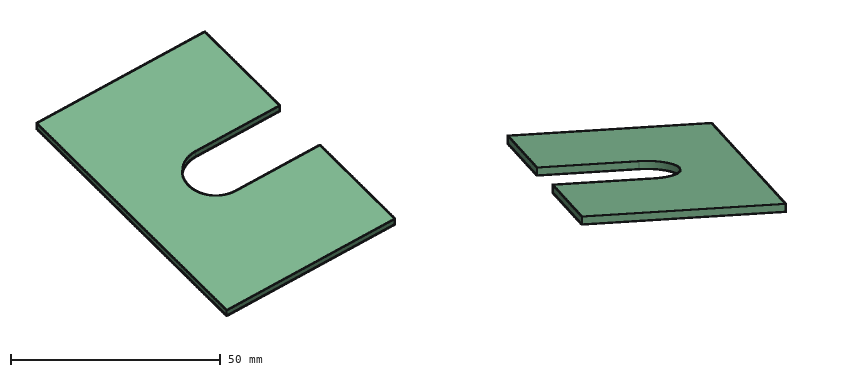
import cadquery as cq

plate_length = 76.0
plate_width = 50.0
plate_thickness = 2.0

slot_width = 16.0
slot_radius = slot_width / 2
slot_end_y = 0.0
back_edge_y = plate_width / 2


def make_plate():
    return cq.Workplane("XY").box(plate_length, plate_width, plate_thickness)


def make_slot_cutter():
    """U-shaped prism with a semicircular closed end, through the full thickness."""
    return (
        cq.Workplane("XY")
        .moveTo(-slot_radius, back_edge_y)
        .lineTo(-slot_radius, slot_end_y)
        .threePointArc((0, slot_end_y - slot_radius), (slot_radius, slot_end_y))
        .lineTo(slot_radius, back_edge_y)
        .close()
        .extrude(plate_thickness / 2, both=True)
    )


result = make_plate().cut(make_slot_cutter())